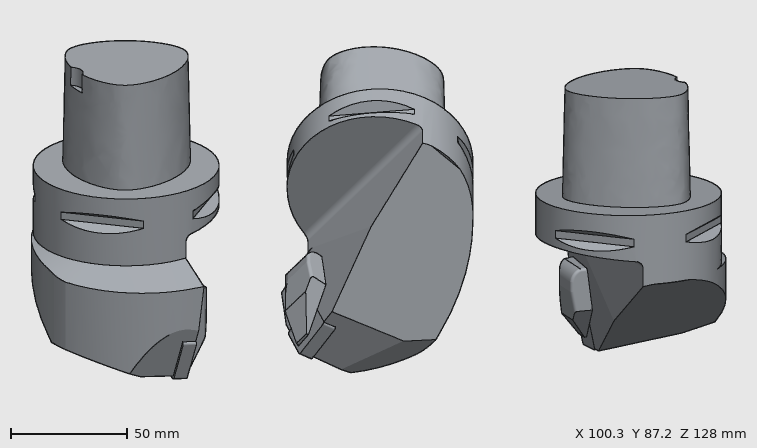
import cadquery as cq
import math


shank_height = 48.0
shank_mean_radius = 27.5
shank_lobe = 1.98
shank_taper = 1.0
notch_radius = 6.7
notch_reach_y = -21.9
notch_depth = 8.3

flange_radius = 80.0 / 2
flange_height = 30.8
slot_count = 4
slot_floor_radius = 35.5
slot_mid_z = -12.2
slot_floor_width = 3.3
slot_mouth_width = 8.5

wall_y = 8.2
roof_rim_z = -17.8
roof_slope = 0.094
roof_fillet = 3.1

head_bottom = -89.6
head_reach = 60.3
head_nose_radius = 50.5
head_front_y = -47.2
cone_angle = 15.0

tip = (54.5, -80.1)
insert_side = 19.3
insert_corner_angle = 100.0
insert_edge_angle = 174.0
insert_thickness = 6.3
insert_nose_radius = 1.2

rake_y = 15.1
rake_x_slope = 0.079
rake_z_slope = 0.131
rake_normal = (rake_x_slope, 1, -rake_z_slope)

clamp_left_x = 30.7
clamp_bevel_z = -58.9
clamp_root_y = -1.3
clamp_top_z = -40.3
clamp_reach_y = 14.7
clamp_edge_fillet = 1.3

big = 512.0


def rake_at(x, z):
    """Height of the rake plane along Y."""
    return rake_y - rake_x_slope * x + rake_z_slope * z


def half_space(point, normal):
    """Everything on the side of a plane that its normal points to."""
    plane = cq.Plane(origin=point, normal=normal)
    return cq.Workplane(plane).rect(big, big).extrude(big)


def trilobe_wire(mean_radius, z):
    """Closed three-lobed curve with one lobe towards +Y."""
    def point(t):
        angle = 2 * math.pi * t
        phase = 3 * (angle - math.pi / 2)
        support = mean_radius + shank_lobe * math.cos(phase)
        slope = -3 * shank_lobe * math.sin(phase)
        x = support * math.cos(angle) - slope * math.sin(angle)
        y = support * math.sin(angle) + slope * math.cos(angle)
        return cq.Vector(x, y, z)

    samples = 48
    points = [point(i / samples) for i in range(samples)]
    return cq.Wire.assembleEdges([cq.Edge.makeSpline(points, periodic=True)])


def make_shank():
    base = trilobe_wire(shank_mean_radius, 0)
    end = trilobe_wire(shank_mean_radius - shank_taper, shank_height)
    shank = cq.Workplane(cq.Solid.makeLoft([base, end], True))
    notch = (
        cq.Workplane("XY", origin=(0, notch_reach_y - notch_radius, shank_height - notch_depth))
        .circle(notch_radius)
        .extrude(notch_depth)
    )
    return shank.cut(notch)


def make_flange():
    flange = cq.Workplane("XY").circle(flange_radius).extrude(-flange_height)
    half_floor = slot_floor_width / 2
    half_mouth = slot_mouth_width / 2
    slot = (
        cq.Workplane("XZ", origin=(0, 0, slot_mid_z))
        .moveTo(slot_floor_radius, -half_floor)
        .lineTo(flange_radius, -half_mouth)
        .lineTo(flange_radius, half_mouth)
        .lineTo(slot_floor_radius, half_floor)
        .close()
        .extrude(flange_radius, both=True)
    )
    for i in range(slot_count):
        flange = flange.cut(slot.rotate((0, 0, 0), (0, 0, 1), 45 + i * 360 / slot_count))
    return flange


def make_head_blank():
    """Side walls of the head, roofed by a cone that falls away from the flange."""
    nose_center_x = head_reach - head_nose_radius
    nose_start_x = 30.6
    nose_start_y = -math.sqrt(head_nose_radius**2 - (nose_start_x - nose_center_x) ** 2)
    nose_mid = head_nose_radius * math.sqrt(0.5)
    rim_x = -25.1
    rim_y = -math.sqrt(flange_radius**2 - rim_x**2)
    wing = (
        cq.Workplane("XY")
        .moveTo(rim_x, rim_y)
        .lineTo(-23.0, -32.8)
        .threePointArc((-4.4, -43.1), (16.8, -47.0))
        .lineTo(22.5, head_front_y)
        .threePointArc((26.6, -47.0), (nose_start_x, nose_start_y))
        .threePointArc((nose_center_x + nose_mid, -nose_mid), (head_reach, 0))
        .lineTo(head_reach, wall_y)
        .lineTo(0, wall_y)
        .close()
        .extrude(head_bottom)
    )
    core = cq.Workplane("XY").circle(flange_radius).extrude(head_bottom)
    cone_radius = 2 * flange_radius
    cone_drop = (cone_radius - flange_radius) * math.tan(math.radians(cone_angle))
    roofed_space = (
        cq.Workplane("XZ")
        .moveTo(0, -flange_height)
        .lineTo(flange_radius, -flange_height)
        .lineTo(cone_radius, -flange_height - cone_drop)
        .lineTo(cone_radius, head_bottom)
        .lineTo(0, head_bottom)
        .close()
        .revolve(360, (0, 0, 0), (0, 1, 0))
    )
    return wing.union(core).intersect(roofed_space)


def make_head():
    """Head blank trimmed by the rake face and the relief planes."""
    trims = [
        ((0, rake_y, 0), rake_normal),
        ((-flange_radius, wall_y, -31.1), (-0.668, -0.085, -1)),
        ((28.5, 2.8, -76.9), (-0.09, -0.14, -1)),
        ((26.6, -32, -72.5), (0.054, -0.433, -1)),
        ((head_reach, 1.8, -56.0), (1, -0.09, -0.29)),
    ]
    head = make_head_blank()
    for point, normal in trims:
        head = head.cut(half_space(point, normal))
    return head


def make_chip_clearance():
    """Space removed below the flange on the +Y side, with a rounded inner corner."""
    outer_y = 2 * flange_radius
    wall_roof_z = roof_rim_z - roof_slope * (flange_radius - wall_y)
    return (
        cq.Workplane("YZ")
        .moveTo(wall_y, head_bottom)
        .lineTo(wall_y, wall_roof_z)
        .lineTo(outer_y, wall_roof_z + roof_slope * (outer_y - wall_y))
        .lineTo(outer_y, head_bottom)
        .close()
        .extrude(big / 2, both=True)
        .edges("|X")
        .edges(cq.selectors.NearestToPointSelector((0, wall_y, wall_roof_z)))
        .fillet(roof_fillet)
    )


def make_clamp():
    """Clamp standing on the rake face: a side profile crossed with a plan outline."""
    side_profile = (
        cq.Workplane("YZ", origin=(clamp_left_x, 0, 0))
        .moveTo(clamp_root_y, clamp_top_z)
        .lineTo(10.2, clamp_top_z)
        .threePointArc((13.5, -42.6), (clamp_reach_y, -47.4))
        .lineTo(clamp_reach_y, -50.2)
        .lineTo(12.0, -64.0)
        .lineTo(2.5, -75.0)
        .lineTo(clamp_root_y, -75.0)
        .close()
        .extrude(head_reach - clamp_left_x)
    )
    plan_outline = (
        cq.Workplane("XY")
        .moveTo(clamp_left_x, clamp_root_y)
        .lineTo(55.3, clamp_root_y)
        .lineTo(50.3, 11.1)
        .threePointArc((47.9, 13.5), (44.4, clamp_reach_y))
        .lineTo(clamp_left_x, clamp_reach_y)
        .close()
        .extrude(head_bottom)
    )
    left_edges = cq.selectors.BoxSelector(
        (clamp_left_x - 1.3, 1.3, head_bottom), (clamp_left_x + 1.3, big, 0)
    )
    clamp = side_profile.intersect(plan_outline)
    clamp = clamp.faces("<X").edges(left_edges).fillet(clamp_edge_fillet)
    bevel = half_space((clamp_left_x, 0, clamp_bevel_z), (-1, 0, -1))
    return clamp.cut(bevel)


def make_insert():
    """Rhombic insert lying flush with the rake face."""
    tip_x, tip_z = tip
    face = cq.Plane(
        origin=(tip_x, rake_at(tip_x, tip_z), tip_z),
        xDir=(-1, rake_x_slope, 0),
        normal=rake_normal,
    )
    lower = math.radians(180 - insert_edge_angle)
    outer = lower + math.radians(insert_corner_angle)
    lower_end = (insert_side * math.cos(lower), insert_side * math.sin(lower))
    outer_end = (insert_side * math.cos(outer), insert_side * math.sin(outer))
    far_corner = (lower_end[0] + outer_end[0], lower_end[1] + outer_end[1])
    blank = cq.Workplane(face).polyline([(0, 0), lower_end, far_corner, outer_end]).close()
    blank = blank.extrude(-insert_thickness)
    return blank.edges(cq.selectors.ParallelDirSelector(face.zDir)).fillet(insert_nose_radius)


insert = make_insert()
body = make_flange().union(make_head()).cut(make_chip_clearance())
holder = body.union(make_shank()).union(make_clamp()).cut(insert)

result = cq.Compound.makeCompound([holder.val(), insert.val()])